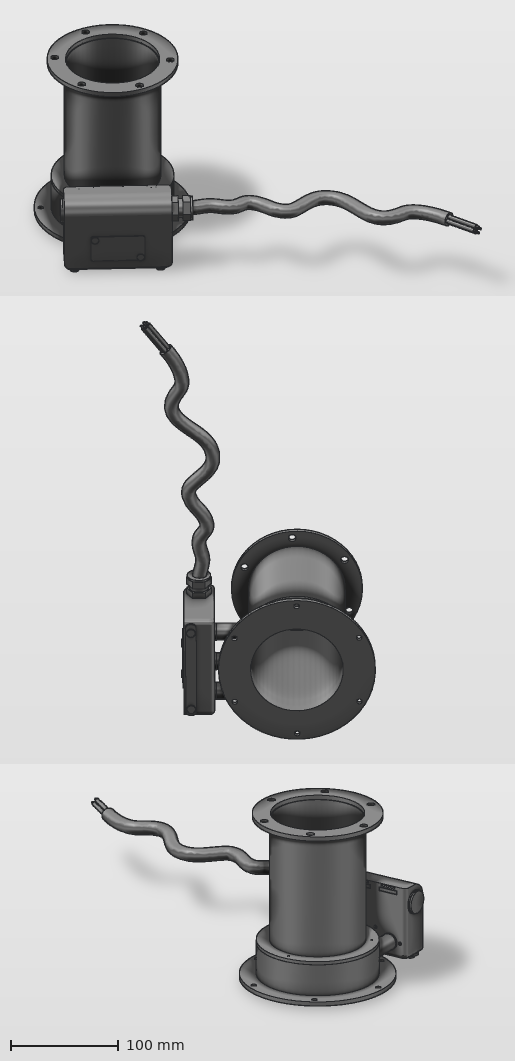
import cadquery as cq
import math

bore_dia = 85.8
flange_bore_dia = 87.2
tube_dia = 89.5
tube_top = 164.0
base_flange_dia = 145.5
flange_thickness = 4.2
top_flange_dia = 121.5
flange_hole_count = 6
base_hole_dia = 5.0
base_hole_radius = 66.7
base_hole_angle = 10
top_hole_dia = 7.0
top_hole_radius = 53.5
top_hole_angle = 5.5

ring_dia = 114.5
lid_dia = 114.0
lid_thickness = 3.2
ring_top = 38.0
ring_hole_count = 3
ring_hole_dia = 1.5
ring_hole_radius = 50.0
ring_hole_angle = 40
ring_hole_depth = 3.5

box_angle = -20
box_inner = 76.2
box_outer = 105.0
box_start = -48.7
box_end = 51.2
box_bottom = 1.0
box_top = 72.5
box_top_round = 15.2
box_side_round = 4.2
box_foot_round = 4.5
box_mid_depth = (box_inner + box_outer) / 2
pipe_row_centre = 0.7

pipe_dia = 16.0
pipe_pitch = 31.0
pipe_height = 16.5
pipe_root = 39.0
collar_dia = 16.2
collar_length = 1.8

slot_pitch = 29.0
slot_length = 19.0
slot_height = 3.5
slot_centre_height = 66.5
slot_depth = 1.0
notch_length = 15.0
notch_height = 1.5
notch_centre_height = 70.5
notch_depth = 3.0
face_hole_dia = 3.3
face_hole_depth = 2.0
upper_hole_height = 49.5
middle_hole_height = 27.5
outer_hole_spread = 42.5

label_length = 50.0
label_height = 26.0
label_centre_height = 22.2
label_raise = 1.0
label_corner = 2.0
label_stud_dia = 7.0
label_stud_raise = 2.0
label_stud_y = 21.2
label_stud_z = 9.5

strip_inner = 93.2
strip_outer = 103.0
strip_length = 95.3
strip_thickness = 2.0
strip_corner = 4.2
screw_depth = 98.0
screw_spread = 40.0
screw_neck_dia = 5.0
screw_head_dia = 8.0
screw_head_thickness = 1.6
screw_bottom = -4.2

cable_height = 55.5
plug_dia = 22.0
plug_length = 3.2
plug_rim_dia = 23.0
plug_rim_length = 1.5
gland_hex = 20.0
gland_neck_dia = 17.5
gland_base_length = 6.0
gland_neck_length = 4.2
gland_nut_length = 7.0
gland_cap_dia = 22.0
gland_cap_length = 2.0

cable_dia = 13.0
cable_bends = [
    (109.8, 43.8),
    (111.5, 52.2),
    (118.5, 63.2),
    (121.8, 72.0),
    (119.3, 84.0),
    (130.5, 98.5),
    (142.0, 106.0),
    (148.2, 116.0),
    (144.7, 128.5),
    (137.5, 152.5),
    (144.7, 165.2),
    (173.3, 178.5),
    (192.7, 192.0),
    (193.8, 204.7),
    (191.5, 216.0),
    (197.0, 228.7),
    (205.5, 238.0),
]
cable_tip = (218.0, 247.5)
wire_angle = 33
wire_dia = 4.0
wire_offset = 3.0
wire_count = 4
wire_inset = 3.2
wire_length = 30.7
core_dia = 2.0
core_length = 3.2


def cylinder(dia, bottom, top):
    return cq.Workplane("XY").workplane(offset=bottom).circle(dia / 2).extrude(top - bottom)


def hole_circle(radius, start_angle, count, dia, bottom, top):
    plane = cq.Workplane("XY").workplane(offset=bottom)
    return plane.polarArray(radius, start_angle, 360, count).circle(dia / 2).extrude(top - bottom)


def block(x_range, y_range, z_range):
    corner = (x_range[0], y_range[0], z_range[0])
    size = (x_range[1] - x_range[0], y_range[1] - y_range[0], z_range[1] - z_range[0])
    return cq.Workplane("XY").box(*size, centered=False).translate(corner)


def along_box(x, y, z):
    """Work plane at a point of the box frame, facing along the box."""
    return cq.Workplane(cq.Plane(origin=(x, y, z), xDir=(1, 0, 0), normal=(0, 1, 0)))


def across_box(x, y, z):
    """Work plane at a point of the box frame, facing away from the tube."""
    return cq.Workplane(cq.Plane(origin=(x, y, z), xDir=(0, 1, 0), normal=(1, 0, 0)))


def make_tube():
    base = cylinder(base_flange_dia, 0, flange_thickness)
    base = base.cut(
        hole_circle(base_hole_radius, base_hole_angle, flange_hole_count, base_hole_dia, 0, flange_thickness)
    )
    top_flange_bottom = tube_top - flange_thickness
    top = cylinder(top_flange_dia, top_flange_bottom, tube_top)
    top = top.cut(
        hole_circle(
            top_hole_radius, top_hole_angle, flange_hole_count, top_hole_dia, top_flange_bottom, tube_top
        )
    )
    ring = cylinder(ring_dia, flange_thickness, ring_top - lid_thickness)
    ring = ring.union(cylinder(lid_dia, ring_top - lid_thickness, ring_top))
    ring_hole_bottom = ring_top - ring_hole_depth
    ring = ring.cut(
        hole_circle(
            ring_hole_radius, ring_hole_angle, ring_hole_count, ring_hole_dia, ring_hole_bottom, ring_top
        )
    )
    return base.union(ring).union(cylinder(tube_dia, 0, tube_top)).union(top)


def make_box():
    box = block((box_inner, box_outer), (box_start, box_end), (box_bottom, box_top))
    box = box.edges(">X and >Z").fillet(box_top_round)
    box = box.edges("|X and <Z").fillet(box_foot_round)
    box = box.edges("|Z and <X").fillet(box_side_round)
    for step in (-1, 0, 1):
        slot_centre = pipe_row_centre + step * slot_pitch
        slot = across_box(box_inner, slot_centre, slot_centre_height).rect(slot_length, slot_height)
        notch = across_box(box_inner, slot_centre, notch_centre_height).rect(notch_length, notch_height)
        box = box.cut(slot.extrude(slot_depth)).cut(notch.extrude(notch_depth))
    holes = [
        (0, upper_hole_height),
        (-pipe_pitch / 2, middle_hole_height),
        (pipe_pitch / 2, middle_hole_height),
        (-outer_hole_spread, pipe_height),
        (outer_hole_spread, pipe_height),
    ]
    face = across_box(box_inner, pipe_row_centre, 0)
    box = box.cut(face.pushPoints(holes).circle(face_hole_dia / 2).extrude(face_hole_depth))
    label = across_box(box_outer, pipe_row_centre, label_centre_height).rect(label_length, label_height)
    box = box.union(label.extrude(label_raise).edges("|X").fillet(label_corner))
    studs = across_box(box_outer, pipe_row_centre, label_centre_height)
    studs = studs.pushPoints([(-label_stud_y, label_stud_z), (label_stud_y, -label_stud_z)])
    return box.union(studs.circle(label_stud_dia / 2).extrude(label_stud_raise))


def make_pipes():
    points = [(step * pipe_pitch, 0) for step in (-1, 0, 1)]
    pipes = across_box(pipe_root, pipe_row_centre, pipe_height).pushPoints(points)
    collars = across_box(box_inner - collar_length, pipe_row_centre, pipe_height).pushPoints(points)
    pipes = pipes.circle(pipe_dia / 2).extrude(box_mid_depth - pipe_root)
    return pipes.union(collars.circle(collar_dia / 2).extrude(box_mid_depth - box_inner))


def make_foot():
    strip_range = (pipe_row_centre - strip_length / 2, pipe_row_centre + strip_length / 2)
    strip_bottom = box_bottom - strip_thickness
    foot = block((strip_inner, strip_outer), strip_range, (strip_bottom, box_bottom))
    foot = foot.edges("|Z").fillet(strip_corner)
    for side in (-1, 1):
        place = (screw_depth, pipe_row_centre + side * screw_spread, 0)
        neck = cylinder(screw_neck_dia, screw_bottom, box_bottom)
        head = cylinder(screw_head_dia, screw_bottom, screw_bottom + screw_head_thickness)
        foot = foot.union(neck.union(head).translate(place))
    return foot


def make_plug():
    plug = along_box(box_mid_depth, box_start - plug_length, cable_height)
    rim = along_box(box_mid_depth, box_start - plug_rim_length, cable_height)
    return plug.circle(plug_dia / 2).extrude(plug_length).union(
        rim.circle(plug_rim_dia / 2).extrude(plug_rim_length)
    )


def make_gland():
    corner_dia = gland_hex / math.cos(math.radians(30))
    neck_start = box_end + gland_base_length
    nut_start = neck_start + gland_neck_length
    base = along_box(box_mid_depth, box_end, cable_height).polygon(6, corner_dia).extrude(gland_base_length)
    neck = along_box(box_mid_depth, neck_start, cable_height).circle(gland_neck_dia / 2)
    nut = along_box(box_mid_depth, nut_start, cable_height).polygon(6, corner_dia)
    cap = along_box(box_mid_depth, nut_start + gland_nut_length, cable_height).circle(gland_cap_dia / 2)
    gland = base.union(neck.extrude(gland_neck_length)).union(nut.extrude(gland_nut_length))
    return gland.union(cap.extrude(gland_cap_length))


def make_cable():
    turn = math.radians(box_angle)
    cable_start = box_end + gland_base_length + gland_neck_length + gland_nut_length / 2
    start = (
        box_mid_depth * math.cos(turn) - cable_start * math.sin(turn),
        box_mid_depth * math.sin(turn) + cable_start * math.cos(turn),
    )
    start_direction = (-math.sin(turn), math.cos(turn))
    tip_turn = math.radians(wire_angle)
    tip_direction = (math.cos(tip_turn), math.sin(tip_turn))
    path = cq.Workplane("XY").workplane(offset=cable_height).spline(
        [start] + cable_bends + [cable_tip], tangents=[start_direction, tip_direction]
    )
    section = cq.Plane(
        origin=(start[0], start[1], cable_height),
        xDir=(0, 0, 1),
        normal=(start_direction[0], start_direction[1], 0),
    )
    return cq.Workplane(section).circle(cable_dia / 2).sweep(path)


def make_wires():
    turn = math.radians(wire_angle)
    tip = cq.Plane(
        origin=(cable_tip[0], cable_tip[1], cable_height),
        xDir=(0, 0, 1),
        normal=(math.cos(turn), math.sin(turn), 0),
    )
    root = cq.Workplane(tip).workplane(offset=-wire_inset)
    wires = root.polarArray(wire_offset, 0, 360, wire_count).circle(wire_dia / 2).extrude(wire_length + wire_inset)
    cores = root.polarArray(wire_offset, 0, 360, wire_count).circle(core_dia / 2)
    return wires.union(cores.extrude(wire_length + wire_inset + core_length))


box_parts = make_box().union(make_pipes()).union(make_foot()).union(make_plug()).union(make_gland())
box_parts = box_parts.rotate((0, 0, 0), (0, 0, 1), box_angle)

bore = cylinder(bore_dia, 0, tube_top).union(cylinder(flange_bore_dia, tube_top - flange_thickness, tube_top))
result = make_tube().union(box_parts).cut(bore).union(make_cable()).union(make_wires())